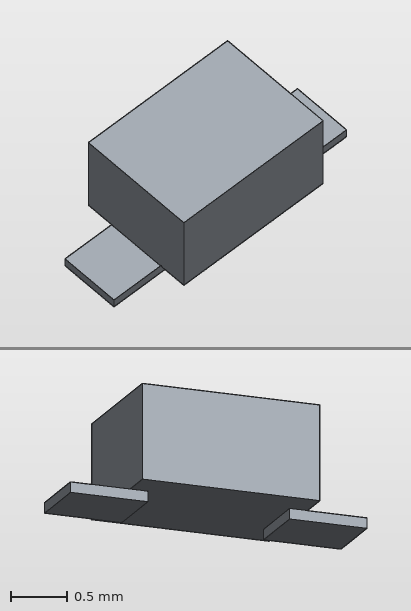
import cadquery as cq

overall_length = 2.84
overall_height = 1.0

lead_width = 0.642
lead_length = 0.74
lead_thickness = 0.1

package_width = 1.25
package_length = 1.7
package_height = overall_height - lead_thickness


def make_package():
    """Plain block whose underside sits on the tops of the leads."""
    return (
        cq.Workplane("XY")
        .workplane(offset=lead_thickness)
        .rect(package_width, package_length)
        .extrude(package_height)
    )


def make_lead(side):
    """Flat lead reaching from under the package to its outer end; side is -1 or +1 along Y."""
    center_y = side * (overall_length - lead_length) / 2
    return (
        cq.Workplane("XY")
        .center(0, center_y)
        .rect(lead_width, lead_length)
        .extrude(lead_thickness)
    )


package = make_package()
leads = [make_lead(side) for side in (-1, 1)]

result = cq.Compound.makeCompound([package.val(), *[lead.val() for lead in leads]])